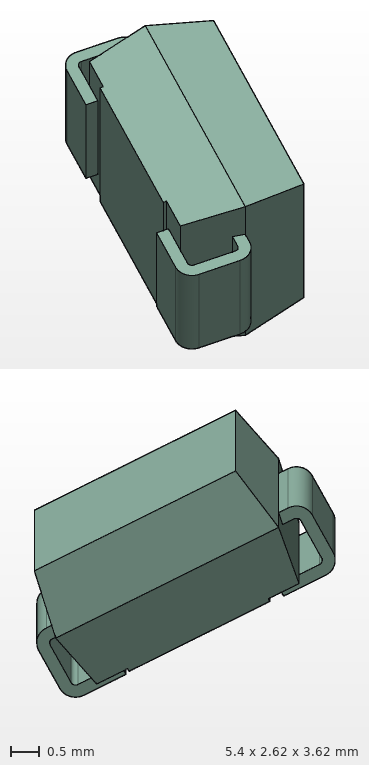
import cadquery as cq
import math

body_length = 4.4
body_height = 3.62
half_depth = 1.21
draft_angle = 10.0

pad_length = 2.78
pad_step = 0.06

overall_length = 5.4
lead_width = 2.07
lead_thickness = 0.225
lead_outer_radius = 0.315
foot_length = 1.145
standoff = 0.2

lead_inner_radius = lead_outer_radius - lead_thickness
lead_depth = half_depth + standoff


def tapered_half(direction):
    """Frustum growing from the parting plane toward +Y (direction 1) or -Y (direction -1)."""
    inset = half_depth * math.tan(math.radians(draft_angle))
    return (
        cq.Workplane("XZ")
        .rect(body_length, body_height)
        .workplane(offset=-direction * half_depth)
        .rect(body_length - 2 * inset, body_height - 2 * inset)
        .loft(combine=True, ruled=True)
    )


def make_front_half():
    """Mounting-side half, recessed at both ends so that the pad stands proud between them."""
    half = tapered_half(-1)
    recess_length = (body_length - pad_length) / 2
    for side in (-1, 1):
        recess = cq.Workplane("XY").box(recess_length, 2 * pad_step, body_height).translate(
            (side * (pad_length + recess_length) / 2, -half_depth, 0)
        )
        half = half.cut(recess)
    return half


def make_lead(side, front_half):
    """Bent strip at the -X (side -1) or +X (side 1) end, trimmed flush with the front half's wall."""
    outer_x = overall_length / 2
    arm_end = outer_x - foot_length
    inner_length = foot_length - lead_thickness
    inner_depth = lead_depth - 2 * lead_thickness
    strip = (
        cq.Workplane("XY")
        .box(foot_length, lead_depth, lead_width)
        .edges("|Z and >X")
        .fillet(lead_outer_radius)
    )
    opening = (
        cq.Workplane("XY")
        .box(inner_length, inner_depth, lead_width)
        .edges("|Z and >X")
        .fillet(lead_inner_radius)
        .translate((-lead_thickness / 2, 0, 0))
    )
    lead = strip.cut(opening).translate((arm_end + foot_length / 2, -lead_depth / 2, 0))
    if side < 0:
        lead = lead.mirror("YZ")
    return lead.cut(front_half)


back_half = tapered_half(1)
front_half = make_front_half()
leads = [make_lead(side, front_half) for side in (-1, 1)]

result = cq.Compound.makeCompound(
    [back_half.val(), front_half.val(), *[lead.val() for lead in leads]]
)